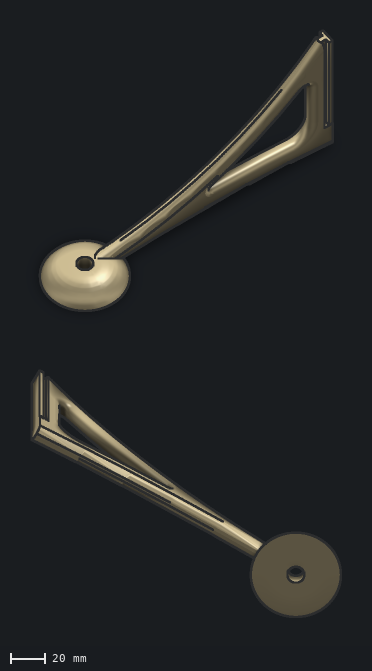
import cadquery as cq
import math

LENGTH = 202.3
HEIGHT = 96.5
FOOT_DIAMETER = 53.0
FOOT_RADIUS = FOOT_DIAMETER / 2
WALL_Y = LENGTH - FOOT_RADIUS

FOOT_HEIGHT = 11.7
FOOT_FLAT_RADIUS = 7.3
DOME_SHOULDER_RADIUS = 19.0
DOME_SHOULDER_HEIGHT = 8.0
HOLE_DIAMETER = 10.0

ARM_WIDTH = 10.1
TOP_LAND = 6.9
UPPER_MID_Y = WALL_Y - 79.0
UPPER_MID_Z = 39.0
LOWER_MID_Y = WALL_Y / 2
LOWER_MID_Z = 4.7
LOWER_END_Z = 0.5
CREST_WIDTH = 0.1
UPPER_ROUND = (ARM_WIDTH - CREST_WIDTH) / 2
LOWER_ROUND = 4.0

WINDOW_WALL_GAP = 15.0
UPPER_BAR = 11.3
LOWER_BAR = 15.0
TOP_CORNER_RADIUS = 4.2
WALL_CORNER_RADIUS = 11.5
TIP_CORNER_RADIUS = 1.6
WINDOW_ROUND = 4.7

RAIL_BOTTOM = 20.2
RAIL_DEPTH = 5.9
FLANGE_THICKNESS = 2.6
FLANGE_WIDTH = 9.5
WEB_WIDTH = 3.6

UPPER_POINTS = ((WALL_Y - TOP_LAND, HEIGHT), (UPPER_MID_Y, UPPER_MID_Z), (FOOT_FLAT_RADIUS, FOOT_HEIGHT))
LOWER_POINTS = ((FOOT_FLAT_RADIUS, LOWER_END_Z), (LOWER_MID_Y, LOWER_MID_Z), (WALL_Y, 0))


def circle_through(points):
    """Centre and radius of the circle through three (y, z) points."""
    (ay, az), (by, bz), (cy, cz) = points
    twice_cross = 2 * ((by - ay) * (cz - az) - (bz - az) * (cy - ay))
    b_square = (by - ay) ** 2 + (bz - az) ** 2
    c_square = (cy - ay) ** 2 + (cz - az) ** 2
    dy = ((cz - az) * b_square - (bz - az) * c_square) / twice_cross
    dz = ((by - ay) * c_square - (cy - ay) * b_square) / twice_cross
    return ay + dy, az + dz, math.hypot(dy, dz)


def disc(centre_y, centre_z, radius):
    """Flat cylinder across the arm width."""
    return (
        cq.Workplane("YZ")
        .center(centre_y, centre_z)
        .circle(radius)
        .extrude(ARM_WIDTH / 2, both=True)
    )


def make_arm():
    upper_start, upper_mid, upper_end = UPPER_POINTS
    lower_start, lower_mid, lower_end = LOWER_POINTS
    arm = (
        cq.Workplane("YZ")
        .moveTo(WALL_Y, HEIGHT)
        .lineTo(*upper_start)
        .threePointArc(upper_mid, upper_end)
        .lineTo(*lower_start)
        .threePointArc(lower_mid, lower_end)
        .close()
        .extrude(ARM_WIDTH / 2, both=True)
    )
    for side in (-ARM_WIDTH / 2, ARM_WIDTH / 2):
        arm = arm.edges(cq.NearestToPointSelector((side, *upper_mid))).fillet(UPPER_ROUND)
        arm = arm.edges(cq.NearestToPointSelector((side, *lower_mid))).fillet(LOWER_ROUND)
    return arm


def make_window():
    upper_y, upper_z, upper_radius = circle_through(UPPER_POINTS)
    lower_y, lower_z, lower_radius = circle_through(LOWER_POINTS)
    inner_wall_y = WALL_Y - WINDOW_WALL_GAP
    window = cq.Workplane("XY").box(
        ARM_WIDTH, inner_wall_y, HEIGHT, centered=(True, False, False)
    )
    window = window.cut(disc(upper_y, upper_z, upper_radius + UPPER_BAR))
    window = window.cut(disc(lower_y, lower_z, lower_radius + LOWER_BAR))
    window = cq.Workplane(window.solids(">Y").val())
    window = window.edges("|X").edges("<Y").fillet(TIP_CORNER_RADIUS)
    window = window.edges("|X").edges(">Z").fillet(TOP_CORNER_RADIUS)
    corner = cq.NearestToPointSelector((0, inner_wall_y, LOWER_BAR))
    return window.edges("|X").edges(corner).fillet(WALL_CORNER_RADIUS)


def cut_window(arm):
    arm = arm.cut(make_window())
    rim_point = (WALL_Y - WINDOW_WALL_GAP, HEIGHT / 2)
    for side in (-ARM_WIDTH / 2, ARM_WIDTH / 2):
        rim = cq.NearestToPointSelector((side, *rim_point))
        arm = arm.edges(rim).fillet(WINDOW_ROUND)
    return arm


def cut_rail(arm):
    """Leave a centre web and a slightly narrower flange at the wall."""
    rail_height = HEIGHT - RAIL_BOTTOM
    groove_depth = RAIL_DEPTH - FLANGE_THICKNESS
    groove_y = WALL_Y - FLANGE_THICKNESS - groove_depth / 2
    flange_y = WALL_Y - FLANGE_THICKNESS / 2
    for kept_width, depth, centre_y in (
        (WEB_WIDTH, groove_depth, groove_y),
        (FLANGE_WIDTH, FLANGE_THICKNESS, flange_y),
    ):
        side_width = (ARM_WIDTH - kept_width) / 2
        side_x = (ARM_WIDTH + kept_width) / 4
        cutter = (
            cq.Workplane("XY", origin=(0, centre_y, RAIL_BOTTOM))
            .pushPoints([(-side_x, 0), (side_x, 0)])
            .rect(side_width, depth)
            .extrude(rail_height)
        )
        arm = arm.cut(cutter)
    return arm


def make_foot():
    return (
        cq.Workplane("XZ")
        .lineTo(FOOT_RADIUS, 0)
        .threePointArc((DOME_SHOULDER_RADIUS, DOME_SHOULDER_HEIGHT), (FOOT_FLAT_RADIUS, FOOT_HEIGHT))
        .lineTo(0, FOOT_HEIGHT)
        .close()
        .revolve(360, (0, 0, 0), (0, 1, 0))
    )


bracket = cut_rail(cut_window(make_arm())).union(make_foot())
hole = cq.Workplane("XY").circle(HOLE_DIAMETER / 2).extrude(FOOT_HEIGHT)
result = bracket.cut(hole)